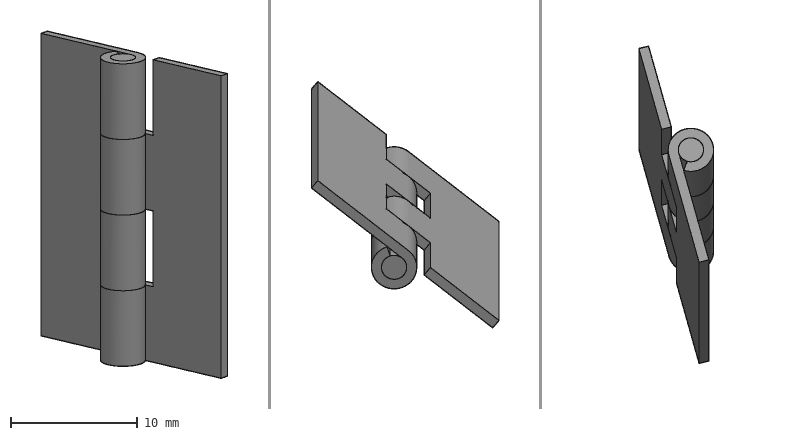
import cadquery as cq
import math

hinge_height = 25.0
hinge_width = 18.5
sheet_thickness = 0.8
pin_radius = 1.0
knuckle_count = 4
notch_edge = 2.25
curl_end_angle = 33.0

knuckle_radius = pin_radius + sheet_thickness
knuckle_height = hinge_height / knuckle_count
half_width = hinge_width / 2
half_height = hinge_height / 2


def curl_end(radius):
    """Point on the radial end face of the rolled sheet."""
    angle = math.radians(180 - curl_end_angle)
    return (radius * math.cos(angle), radius * math.sin(angle))


def make_plate():
    """Full-height flat part of the left leaf, outside the notches."""
    return (
        cq.Workplane("XY", origin=(0, 0, -half_height))
        .moveTo(-half_width, pin_radius)
        .lineTo(-notch_edge, pin_radius)
        .lineTo(-notch_edge, knuckle_radius)
        .lineTo(-half_width, knuckle_radius)
        .close()
        .extrude(hinge_height)
    )


def make_knuckle(bottom):
    """Strip running from the plate over the pin and rolled clockwise around it."""
    return (
        cq.Workplane("XY", origin=(0, 0, bottom))
        .moveTo(-notch_edge, knuckle_radius)
        .lineTo(0, knuckle_radius)
        .threePointArc((0, -knuckle_radius), curl_end(knuckle_radius))
        .lineTo(*curl_end(pin_radius))
        .threePointArc((0, -pin_radius), (0, pin_radius))
        .lineTo(-notch_edge, pin_radius)
        .close()
        .extrude(knuckle_height)
    )


def make_leaf():
    """Left leaf, with every second knuckle counted down from the top."""
    leaf = make_plate()
    for index in range(0, knuckle_count, 2):
        leaf = leaf.union(make_knuckle(half_height - (index + 1) * knuckle_height))
    return leaf.clean()


def make_pin():
    """Plain pin, flush with both ends of the hinge."""
    return cq.Workplane("XY", origin=(0, 0, -half_height)).circle(pin_radius).extrude(hinge_height)


left_leaf = make_leaf()
right_leaf = make_leaf().rotate((0, 0, 0), (0, 1, 0), 180)
pin = make_pin()

result = cq.Compound.makeCompound([left_leaf.val(), right_leaf.val(), pin.val()])